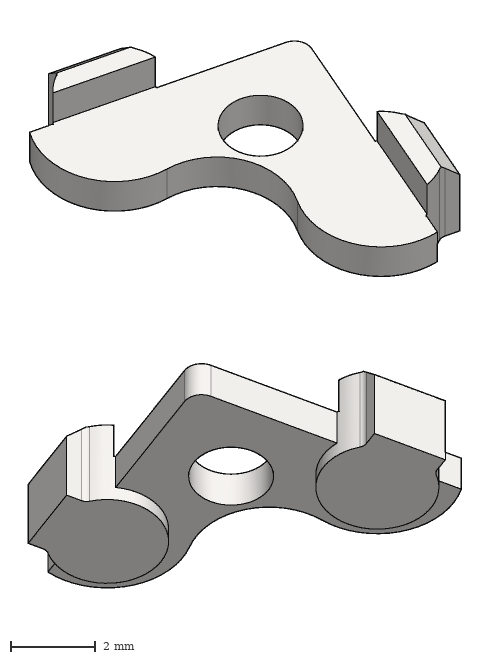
import cadquery as cq
import math

total_height = 2.4
plate_bottom = 0.4
plate_thickness = 1.0
plate_top = plate_bottom + plate_thickness

corner_radius = 0.46
lobe_radius = 2.04
notch_radius = 1.96
hole_diameter = 2.0
hole_inset = 2.2

boss_along = 5.2
boss_inset = 0.51
boss_radius = 1.45
tab_width = 1.9
tab_overhang = 1.09
tab_chamfer = 0.5
tab_root_radius = 0.25
wall_gap = 0.04


def across_diagonal(point):
    """Mirror a point from one arm to the other."""
    x, y = point
    return (-y, -x)


def point_on_circle(center, radius, direction):
    """Point on a circle along a direction vector from its centre."""
    length = math.hypot(*direction)
    return (
        center[0] + radius * direction[0] / length,
        center[1] + radius * direction[1] / length,
    )


def make_plate():
    lobe = (boss_along, -boss_inset)

    center_distance = lobe_radius + notch_radius
    half_sum = (boss_along + boss_inset) / 2
    half_difference = (boss_along - boss_inset) / 2
    notch_inset = half_sum + math.sqrt(center_distance**2 / 2 - half_difference**2)
    notch = (notch_inset, -notch_inset)

    arm_tip = (boss_along + math.sqrt(lobe_radius**2 - boss_inset**2), 0)
    lobe_middle = point_on_circle(lobe, lobe_radius, (1, -1))
    tangent_point = point_on_circle(lobe, lobe_radius, (notch[0] - lobe[0], notch[1] - lobe[1]))
    notch_middle = point_on_circle(notch, notch_radius, (-1, 1))

    plate = (
        cq.Workplane("XY")
        .workplane(offset=plate_bottom)
        .moveTo(0, 0)
        .lineTo(*arm_tip)
        .threePointArc(lobe_middle, tangent_point)
        .threePointArc(notch_middle, across_diagonal(tangent_point))
        .threePointArc(across_diagonal(lobe_middle), across_diagonal(arm_tip))
        .close()
        .extrude(plate_thickness)
    )
    outer_corner = cq.NearestToPointSelector((0, 0, plate_bottom + plate_thickness / 2))
    return plate.edges(outer_corner).fillet(corner_radius)


def make_clip():
    """Clip with its boss axis on the Z axis and its tab pointing to -X."""
    tab_length = tab_overhang + boss_inset
    boss = cq.Workplane("XY").circle(boss_radius).extrude(total_height)
    tab = cq.Workplane("XY").box(tab_length, tab_width, total_height, centered=(False, True, False))
    clip = boss.union(tab.translate((-tab_length, 0, 0)))

    clip = clip.edges("|Z and (not <X) and (not >X)").fillet(tab_root_radius)
    clip = clip.faces("<X").edges(">Z").chamfer(tab_chamfer)

    clearance = (
        cq.Workplane("XY")
        .box(2 * boss_radius, 2 * boss_radius, total_height, centered=(False, True, False))
        .translate((-boss_inset - wall_gap, 0, plate_top))
    )
    return clip.cut(clearance)


clip = make_clip()
left_clip = clip.translate((boss_inset, -boss_along, 0))
back_clip = clip.rotate((0, 0, 0), (0, 0, 1), -90).translate((boss_along, -boss_inset, 0))

hole = (
    cq.Workplane("XY")
    .center(hole_inset, -hole_inset)
    .circle(hole_diameter / 2)
    .extrude(total_height)
)

result = make_plate().union(left_clip).union(back_clip).cut(hole)